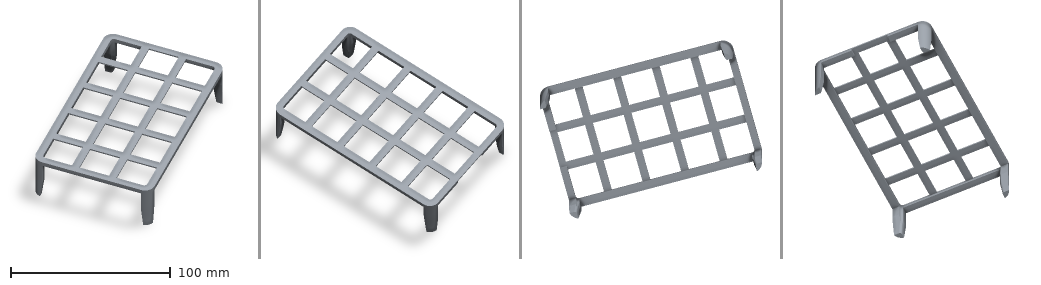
import cadquery as cq

length_x = 80.0
length_y = 125.0
height = 30.0

plate_thickness = 3.0
corner_radius = 6.5
side_wall = 5.0
end_wall = 4.5
inner_radius = 2.0
bar_width = 5.0
bar_thickness = 1.0
window_pitch = 25.0
columns = 3
rows = 5

notch_width = window_pitch

leg_width = corner_radius
foot_x = 5.1
foot_y = end_wall
taper_height_x = 12.0
taper_height_y = 18.0
leg_inner_radius = 1.5

tolerance = 0.01


def rim(depth):
    """Rounded rectangular ring, open in the middle, with its top face at Z = 0."""
    outer = cq.Workplane("XY").rect(length_x, length_y).extrude(-depth).edges("|Z").fillet(corner_radius)
    opening = (
        cq.Workplane("XY")
        .rect(length_x - 2 * side_wall, length_y - 2 * end_wall)
        .extrude(-depth)
        .edges("|Z")
        .fillet(inner_radius)
    )
    return outer.cut(opening)


def bar(size_x, size_y, x, y):
    """One straight bar of the grid, centred at (x, y)."""
    return cq.Workplane("XY").center(x, y).rect(size_x, size_y).extrude(-bar_thickness)


def grid_plate():
    """Rim crossed by evenly spaced bars, leaving the rows and columns of windows."""
    plate = rim(plate_thickness)
    for i in range(columns - 1):
        x = (i - (columns - 2) / 2) * window_pitch
        plate = plate.union(bar(bar_width, length_y - end_wall, x, 0))
    for i in range(rows - 1):
        y = (i - (rows - 2) / 2) * window_pitch
        plate = plate.union(bar(length_x - side_wall, bar_width, 0, y))
    return plate


def end_notch():
    """Block that removes the lower part of the +Y rim in the middle."""
    depth = plate_thickness - bar_thickness
    return (
        cq.Workplane("XY", origin=(0, length_y / 2 - end_wall, -plate_thickness))
        .box(notch_width, end_wall, depth, centered=(True, False, False))
    )


def tapered_strip(plane, half_span, foot_width, taper_height, depth):
    """Leg profile whose straight outer side is at half_span on the plane, extruded to both sides of it."""
    return (
        cq.Workplane(plane)
        .moveTo(half_span, 0)
        .lineTo(half_span - leg_width, 0)
        .lineTo(half_span - leg_width, taper_height - height)
        .lineTo(half_span - foot_width, -height)
        .lineTo(half_span, -height)
        .close()
        .extrude(depth, both=True)
    )


def leg():
    """The +X +Y leg: a post tapered along X and Y, with its inner edge rounded, hollowed by the rim."""
    end_x = length_x / 2
    end_y = length_y / 2
    along_x = tapered_strip("XZ", end_x, foot_x, taper_height_x, end_y)
    along_y = tapered_strip("YZ", end_y, foot_y, taper_height_y, end_x)
    inner_edges = cq.selectors.BoxSelector(
        (end_x - leg_width - tolerance, end_y - leg_width - tolerance, -height),
        (end_x - foot_x + tolerance, end_y - foot_y + tolerance, 0),
    )
    post = along_x.intersect(along_y)
    return post.edges(inner_edges).fillet(leg_inner_radius).intersect(rim(height))


corner_leg = leg()
leg_pair = corner_leg.union(corner_leg.mirror("YZ"))
result = grid_plate().cut(end_notch()).union(leg_pair).union(leg_pair.mirror("XZ"))